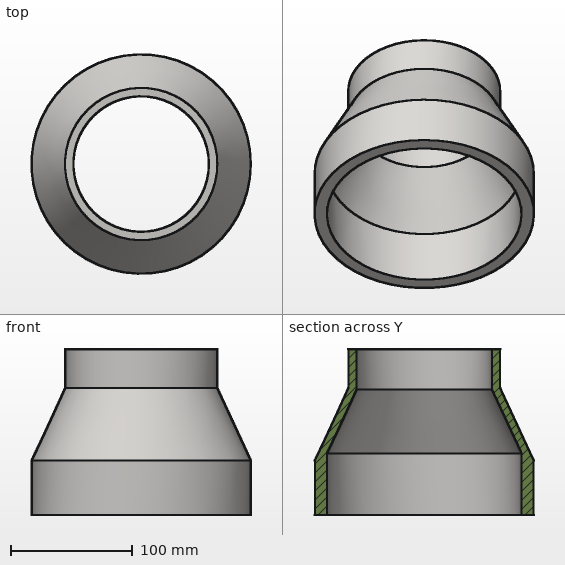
import cadquery as cq

large_diameter = 180.0
large_wall = 10.3
small_diameter = 125.0
small_wall = 7.0

total_height = 136.0
cone_bottom = 44.8
cone_top = 104.2

bore_cone_bottom = cone_bottom + 5.8
bore_cone_top = cone_top - 1.5


def reducer_solid(lower_radius, upper_radius, cone_start, cone_end):
    """Solid of revolution about Z: cylinder, cone, then a narrower cylinder."""
    return (
        cq.Workplane("XZ")
        .lineTo(lower_radius, 0)
        .lineTo(lower_radius, cone_start)
        .lineTo(upper_radius, cone_end)
        .lineTo(upper_radius, total_height)
        .lineTo(0, total_height)
        .close()
        .revolve(360, (0, 0, 0), (0, 1, 0))
    )


large_radius = large_diameter / 2
small_radius = small_diameter / 2

outside = reducer_solid(large_radius, small_radius, cone_bottom, cone_top)
bore = reducer_solid(
    large_radius - large_wall,
    small_radius - small_wall,
    bore_cone_bottom,
    bore_cone_top,
)

result = outside.cut(bore)